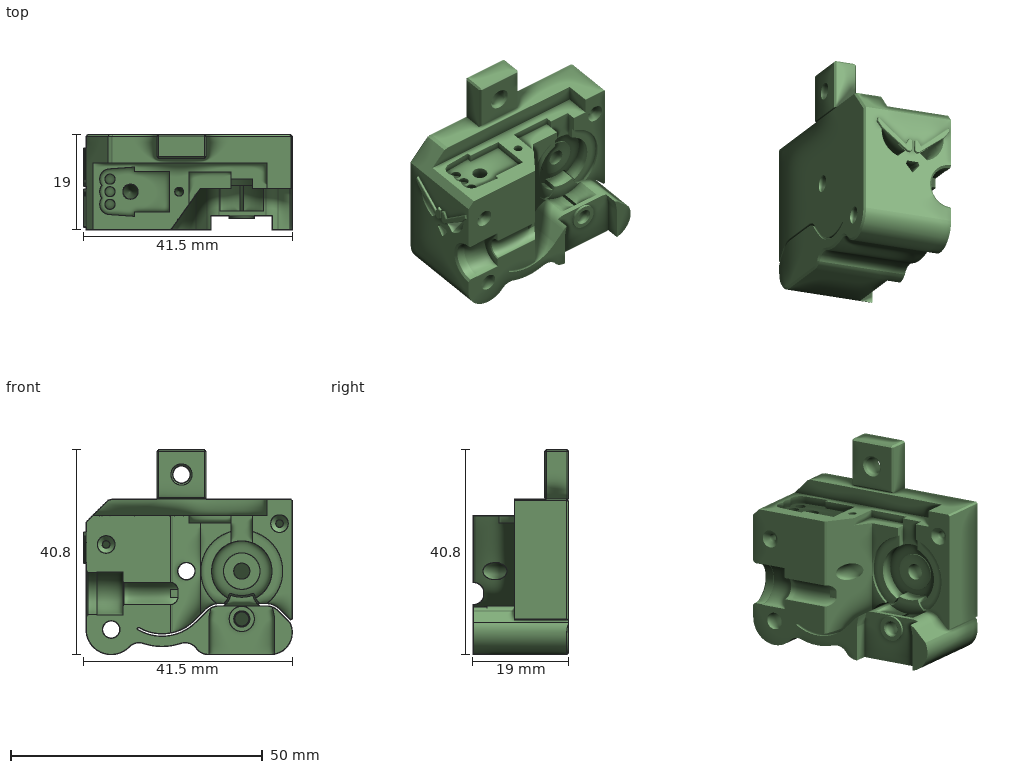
import cadquery as cq
import math


LENGTH = 41.0
DEPTH = 19.0
BODY_TOP = 30.9
CORNER_BEVEL = 4.6
BEVEL_EASE_LENGTH = 0.6
BEVEL_EASE_DROP = 0.2
TOP_CORNER = 0.3
BACK_CHAMFER = 0.4
FOOT_RADIUS = 5.0
SCREW_CLEARANCE = 3.4

TAB_WIDTH = 9.75
TAB_THICKNESS = 4.8
TAB_TOP = 40.75
TAB_X = 18.97
TAB_HOLE_Z = 35.8
TAB_HOLE_MOUTH = 4.2
TAB_CHAMFER = 0.35

LEDGE_Z = 27.65
LEDGE_DEPTH = 13.3
LEDGE_END_X = 36.0
BOARD_FLOOR = LEDGE_Z - 1.5
BOARD_Y = 7.6
BOARD_END_X = 16.6
BOARD_HALF_WIDTH = 4.0
BOARD_STEP_X = 9.65
BOARD_STEP_HALF_WIDTH = 4.9
LOBE_RADIUS = 2.05
CONTACT_X = 4.76
CONTACT_PITCH = 2.5
CONTACT_DIAMETER = 2.0
CONTACT_DEPTH = 1.0
WIRE_X = 8.84
WIRE_DIAMETER = 3.0
WIRE_BOTTOM = 14.5
PILOT_X = 18.5
PILOT_DIAMETER = 1.75
PILOT_DEPTH = 3.0

CHAMBER_LIP_X = 16.75
CHAMBER_LIP = 0.35
CHAMBER_CORNER_X = 22.7
CHAMBER_Y = 8.2
SIDE_POCKET_X = 20.5
SIDE_POCKET_Z = 26.15
SIDE_POCKET_Y = 11.5
KEYWAY_WIDTH = 4.25
KEYWAY_Y = 10.15

SHAFT_X = 30.95
SHAFT_Z = 16.6
RING_DIAMETER = 16.3
RING_FRONT_Y = 3.75
RING_BACK_Y = 8.8
SEAT_DIAMETER = 12.0
SEAT_Y = 11.5
PAD_DIAMETER = 7.25
PAD_HEIGHT = 0.25
SHAFT_DIAMETER = 3.2
SHAFT_END_Y = 16.0

GAP = 0.44
GAP_Z = 9.93
SWEEP_X = 15.1
SWEEP_Z = 13.2
SWEEP_RADIUS = 9.3
SWEEP_START = 240
BEND_RADIUS = 3.6
BEND_RIGHT_X = 35.8
GAP_EXIT_RUN = 5.0
LEVER_BAND = 2.3
BAND_HALF_ANGLE = 18
BAND_BLEND_RUN = 1.45
BAND_BLEND_RISE = 0.15
LEVER_END_RADIUS = 4.4
LEVER_END_CIRCLE = (LENGTH - LEVER_END_RADIUS, LEVER_END_RADIUS, LEVER_END_RADIUS)
LEVER_CORNER_RADIUS = 3.2
LEVER_CORNER_X = 24.4
TIP_Z = 7.1
RECESS_Y = 2.8
RECESS_HALF_WIDTH = 6.55
RECESS_TOP_HALF_WIDTH = 5.9
RECESS_ARC_Z = 7.0
RECESS_BULGE = 0.1
BOSS_Z = 7.1
BOSS_DIAMETER = 5.0
BOSS_HEIGHT = 0.5
AXLE_DIAMETER = 2.8
AXLE_MOUTH = 3.2
AXLE_END_Y = 12.0

TOOTH_BASE = 3.6
TOOTH_WAIST = 2.8
TOOTH_TIP = 2.2
TOOTH_WAIST_Z = 10.5
TOOTH_TIP_Z = 11.8
TOOTH_DIP_Z = 11.4
TOOTH_END_Y = 12.6
TOOTH_CLEARANCE = 0.35
TOOTH_POCKET_Y = 13.0

INLET_Z = 12.15
INLET_MOUTH_RADIUS = 4.6
INLET_CHAMFER_X = 0.43
INLET_LEAD_RADIUS = 4.15
INLET_LEAD_X = 2.2
COUPLER_RADIUS = 4.25
COUPLER_X = 7.35
TUBE_RADIUS = 2.2
TUBE_MOUTH = 0.2
TUBE_FLAT_X = 16.75
TUBE_FLAT_Y = 2.05
TUBE_X = 20.0

CSK_DIAMETER = 3.5
CSK_DEPTH = 1.0
CSK_PILOT = 1.5
CSK_PILOT_DEPTH = 8.0
CSK_HOLES = ((4.0, 21.9, 0), (38.45, 26.05, CHAMBER_Y))

SCREW_HOLES = ((FOOT_RADIUS, FOOT_RADIUS), (19.95, SHAFT_Z))

FACE_Y = 8.4
BROW_HEIGHT = 0.5
BROW_CHAMFER = 0.12
EYE_DEPTH = 7.8
EYE_NARROWING = 0.3
EYE_TARGET_OFFSET = 1.0
EYE_TARGET_Z = 20.0
BEAK_TARGET_Z = 16.3

DIAGONAL = math.sqrt(0.5)
OVERSHOOT = 2.0


def front_plane(y):
    """Sketch plane parallel to the front face, at depth y."""
    return cq.Workplane("XZ", origin=(0, y, 0))


def along_y(sketch, length):
    return sketch.extrude(-length)


def cylinder_y(x, z, diameter, y_start, y_end):
    return along_y(front_plane(y_start).center(x, z).circle(diameter / 2), y_end - y_start)


def cone_y(x, z, mouth, inner, y, depth):
    """Cone that narrows toward the back, starting at depth y."""
    solid = cq.Solid.makeCone(mouth / 2, inner / 2, depth, cq.Vector(x, y, z), cq.Vector(0, 1, 0))
    return cq.Workplane(obj=solid)


def box(x_start, x_end, y_start, y_end, z_start, z_end):
    size = (x_end - x_start, y_end - y_start, z_end - z_start)
    return cq.Workplane("XY").box(*size, centered=False).translate((x_start, y_start, z_start))


def on_circle(x, z, radius, degrees):
    angle = math.radians(degrees)
    return (x + radius * math.cos(angle), z + radius * math.sin(angle))


def make_block():
    """Fixed body and lever as one profile, before they are separated."""
    band_radius = SWEEP_RADIUS + LEVER_BAND
    band_start = on_circle(SWEEP_X, SWEEP_Z, band_radius, 270 - BAND_HALF_ANGLE)
    band_end = on_circle(SWEEP_X, SWEEP_Z, band_radius, 270 + BAND_HALF_ANGLE)
    corner_circle = (LEVER_CORNER_X, LEVER_CORNER_RADIUS, LEVER_CORNER_RADIUS)
    foot_circle = (FOOT_RADIUS, FOOT_RADIUS, FOOT_RADIUS)
    crest_z = band_start[1] + BAND_BLEND_RISE
    profile = (
        front_plane(0)
        .moveTo(0, FOOT_RADIUS)
        .lineTo(0, BODY_TOP - CORNER_BEVEL)
        .lineTo(CORNER_BEVEL - BEVEL_EASE_DROP, BODY_TOP - BEVEL_EASE_DROP)
        .lineTo(CORNER_BEVEL + BEVEL_EASE_LENGTH, BODY_TOP)
        .lineTo(LENGTH - TOP_CORNER, BODY_TOP)
        .lineTo(LENGTH, BODY_TOP - TOP_CORNER)
        .lineTo(LENGTH, LEVER_END_RADIUS)
        .threePointArc(on_circle(*LEVER_END_CIRCLE, -45), on_circle(*LEVER_END_CIRCLE, -90))
        .lineTo(LEVER_CORNER_X, 0)
        .threePointArc(on_circle(*corner_circle, 248), on_circle(*corner_circle, 225))
        .threePointArc((band_end[0] + BAND_BLEND_RUN, crest_z), band_end)
        .threePointArc((SWEEP_X, SWEEP_Z - band_radius), band_start)
        .threePointArc((band_start[0] - BAND_BLEND_RUN, crest_z), on_circle(*foot_circle, 315))
        .threePointArc(on_circle(*foot_circle, 250), (0, FOOT_RADIUS))
        .close()
    )
    return along_y(profile, DEPTH).faces(">Y").chamfer(BACK_CHAMFER)


def gap_edge(side):
    """Points of one gap edge: each arc as start, middle and end. side is +1 above, -1 below."""
    offset = side * GAP / 2
    sweep_radius = SWEEP_RADIUS - offset
    bend_radius = BEND_RADIUS + offset
    bend_z = GAP_Z - BEND_RADIUS
    rise = bend_z - SWEEP_Z
    left_x = SWEEP_X + rise + (SWEEP_RADIUS + BEND_RADIUS) / DIAGONAL
    sweep = [on_circle(SWEEP_X, SWEEP_Z, sweep_radius, a) for a in (SWEEP_START, 280, 315)]
    left = [on_circle(left_x, bend_z, bend_radius, a) for a in (135, 112.5, 90)]
    right = [on_circle(BEND_RIGHT_X, bend_z, bend_radius, a) for a in (90, 67.5, 45)]
    leave_x, leave_z = right[-1]
    leave = (leave_x + GAP_EXIT_RUN, leave_z - GAP_EXIT_RUN)
    return sweep + left + right + [leave]


def trace_upper_gap_edge():
    sweep_0, sweep_1, sweep_2, left_0, left_1, left_2, right_0, right_1, right_2, leave = gap_edge(1)
    return (
        front_plane(0)
        .moveTo(*sweep_0)
        .threePointArc(sweep_1, sweep_2)
        .lineTo(*left_0)
        .threePointArc(left_1, left_2)
        .lineTo(*right_0)
        .threePointArc(right_1, right_2)
        .lineTo(*leave)
    )


def make_gap():
    sweep_0, sweep_1, sweep_2, left_0, left_1, left_2, right_0, right_1, right_2, leave = gap_edge(-1)
    closed_end = on_circle(SWEEP_X, SWEEP_Z, SWEEP_RADIUS, SWEEP_START)
    profile = (
        trace_upper_gap_edge()
        .lineTo(*leave)
        .lineTo(*right_2)
        .threePointArc(right_1, right_0)
        .lineTo(*left_2)
        .threePointArc(left_1, left_0)
        .lineTo(*sweep_2)
        .threePointArc(sweep_1, sweep_0)
        .threePointArc((closed_end[0] - GAP / 2, closed_end[1] + GAP / 4), gap_edge(1)[0])
        .close()
    )
    return along_y(profile, DEPTH)


def make_tip_notch():
    """Wedge where the gap leaves the body, between its lower tip and the round lever end."""
    profile = (
        front_plane(0)
        .moveTo(*on_circle(*LEVER_END_CIRCLE, 0))
        .threePointArc(on_circle(*LEVER_END_CIRCLE, 22), on_circle(*LEVER_END_CIRCLE, 45))
        .lineTo(LENGTH - GAP, TIP_Z - GAP / 2)
        .lineTo(LENGTH, TIP_Z)
        .close()
    )
    return along_y(profile, DEPTH)


def make_chamber():
    """Space in front of the back plate, above the gap and right of the slanted wall."""
    right_x = LENGTH + GAP_EXIT_RUN
    top_z = BODY_TOP + OVERSHOOT
    above_gap = along_y(
        trace_upper_gap_edge().lineTo(right_x, top_z).lineTo(gap_edge(1)[0][0], top_z).close(),
        CHAMBER_Y,
    )
    plan = (
        cq.Workplane("XY")
        .moveTo(CHAMBER_LIP_X, 0)
        .lineTo(CHAMBER_LIP_X + CHAMBER_LIP, CHAMBER_LIP)
        .lineTo(CHAMBER_CORNER_X, CHAMBER_Y)
        .lineTo(right_x, CHAMBER_Y)
        .lineTo(right_x, 0)
        .close()
        .extrude(top_z)
    )
    return plan.intersect(above_gap)


def make_tab():
    tab = (
        box(TAB_X - TAB_WIDTH / 2, TAB_X + TAB_WIDTH / 2, DEPTH - TAB_THICKNESS, DEPTH, BODY_TOP, TAB_TOP)
        .edges(">Z or <Y or (>Y and (not <Z))")
        .chamfer(TAB_CHAMFER)
    )
    front_y = DEPTH - TAB_THICKNESS
    mouth_step = (TAB_HOLE_MOUTH - SCREW_CLEARANCE) / 2
    mouth = cone_y(TAB_X, TAB_HOLE_Z, TAB_HOLE_MOUTH, SCREW_CLEARANCE, front_y, mouth_step)
    return tab.cut(cylinder_y(TAB_X, TAB_HOLE_Z, SCREW_CLEARANCE, front_y, DEPTH)).cut(mouth)


def make_countersunk_hole(x, z, y):
    pilot = cylinder_y(x, z, CSK_PILOT, y, y + CSK_PILOT_DEPTH)
    return pilot.union(cone_y(x, z, CSK_DIAMETER, CSK_PILOT, y, CSK_DEPTH))


def vertical_hole(x, y, diameter, z_bottom, z_top):
    return cq.Workplane("XY", origin=(x, y, z_bottom)).circle(diameter / 2).extrude(z_top - z_bottom)


def drilled_hole(x, y, diameter, z_bottom, z_top):
    """Vertical hole with a drill point below z_bottom."""
    radius = diameter / 2
    point = cq.Solid.makeCone(radius, 0, radius, cq.Vector(x, y, z_bottom), cq.Vector(0, 0, -1))
    return vertical_hole(x, y, diameter, z_bottom, z_top).union(cq.Workplane(obj=point))


def make_board_pocket():
    """Stepped pocket with three contact wells, plus the wire hole."""
    height = LEDGE_Z - BOARD_FLOOR
    half_contacts = CONTACT_PITCH + LOBE_RADIUS
    pocket = (
        cq.Workplane("XY", origin=(0, BOARD_Y, BOARD_FLOOR))
        .polyline([
            (CONTACT_X, half_contacts),
            (BOARD_STEP_X, BOARD_STEP_HALF_WIDTH),
            (BOARD_STEP_X, BOARD_HALF_WIDTH),
            (BOARD_END_X, BOARD_HALF_WIDTH),
            (BOARD_END_X, -BOARD_HALF_WIDTH),
            (BOARD_STEP_X, -BOARD_HALF_WIDTH),
            (BOARD_STEP_X, -BOARD_STEP_HALF_WIDTH),
            (CONTACT_X, -half_contacts),
        ])
        .close()
        .extrude(height)
    )
    for index in (-1, 0, 1):
        y = BOARD_Y + index * CONTACT_PITCH
        pocket = pocket.union(vertical_hole(CONTACT_X, y, 2 * LOBE_RADIUS, BOARD_FLOOR, LEDGE_Z))
        well_bottom = BOARD_FLOOR - CONTACT_DEPTH
        pocket = pocket.union(vertical_hole(CONTACT_X, y, CONTACT_DIAMETER, well_bottom, LEDGE_Z))
    return pocket.union(drilled_hole(WIRE_X, BOARD_Y, WIRE_DIAMETER, WIRE_BOTTOM, LEDGE_Z))


def make_pilot():
    """Small blind hole in the ledge."""
    return drilled_hole(PILOT_X, BOARD_Y, PILOT_DIAMETER, LEDGE_Z - PILOT_DEPTH, LEDGE_Z)


def make_shaft_seat():
    """Stepped seat with a low pad around the shaft hole."""
    seat = cylinder_y(SHAFT_X, SHAFT_Z, RING_DIAMETER, RING_FRONT_Y, RING_BACK_Y)
    seat = seat.union(cylinder_y(SHAFT_X, SHAFT_Z, SEAT_DIAMETER, RING_FRONT_Y, SEAT_Y))
    seat = seat.cut(cylinder_y(SHAFT_X, SHAFT_Z, PAD_DIAMETER, SEAT_Y - PAD_HEIGHT, SEAT_Y))
    return seat.union(cylinder_y(SHAFT_X, SHAFT_Z, SHAFT_DIAMETER, RING_FRONT_Y, SHAFT_END_Y))


def make_plate_pockets():
    keyway_left = SHAFT_X - KEYWAY_WIDTH / 2
    keyway_right = SHAFT_X + KEYWAY_WIDTH / 2
    keyway = box(keyway_left, keyway_right, CHAMBER_Y, KEYWAY_Y, SHAFT_Z, LEDGE_Z)
    return keyway.union(box(SIDE_POCKET_X, keyway_left, 0, SIDE_POCKET_Y, SIDE_POCKET_Z, LEDGE_Z))


def tooth_profile():
    base_z = GAP_Z - GAP / 2
    return (
        front_plane(RING_BACK_Y)
        .moveTo(SHAFT_X - TOOTH_BASE, base_z)
        .threePointArc((SHAFT_X - TOOTH_WAIST, TOOTH_WAIST_Z), (SHAFT_X - TOOTH_TIP, TOOTH_TIP_Z))
        .threePointArc((SHAFT_X, TOOTH_DIP_Z), (SHAFT_X + TOOTH_TIP, TOOTH_TIP_Z))
        .threePointArc((SHAFT_X + TOOTH_WAIST, TOOTH_WAIST_Z), (SHAFT_X + TOOTH_BASE, base_z))
        .close()
    )


def make_tooth():
    return along_y(tooth_profile(), TOOTH_END_Y - RING_BACK_Y)


def make_tooth_pocket():
    """Clearance around the tooth, kept above the lever."""
    pocket = along_y(tooth_profile().offset2D(TOOTH_CLEARANCE), TOOTH_POCKET_Y - RING_BACK_Y)
    return pocket.intersect(box(0, LENGTH, 0, DEPTH, GAP_Z - GAP / 2, BODY_TOP))


def make_lever_recess():
    """Recess in the front of the lever, open at the bottom, with rounded-in upper sides."""
    arc_middle = (RECESS_HALF_WIDTH + RECESS_TOP_HALF_WIDTH) / 2 + RECESS_BULGE
    arc_middle_z = (RECESS_ARC_Z + GAP_Z) / 2
    profile = (
        front_plane(0)
        .moveTo(SHAFT_X - RECESS_HALF_WIDTH, 0)
        .lineTo(SHAFT_X - RECESS_HALF_WIDTH, RECESS_ARC_Z)
        .threePointArc((SHAFT_X - arc_middle, arc_middle_z), (SHAFT_X - RECESS_TOP_HALF_WIDTH, GAP_Z))
        .lineTo(SHAFT_X + RECESS_TOP_HALF_WIDTH, GAP_Z)
        .threePointArc((SHAFT_X + arc_middle, arc_middle_z), (SHAFT_X + RECESS_HALF_WIDTH, RECESS_ARC_Z))
        .lineTo(SHAFT_X + RECESS_HALF_WIDTH, 0)
        .close()
    )
    return along_y(profile, RECESS_Y)


def make_axle_hole():
    front_y = RECESS_Y - BOSS_HEIGHT
    mouth_step = (AXLE_MOUTH - AXLE_DIAMETER) / 2
    hole = cylinder_y(SHAFT_X, BOSS_Z, AXLE_DIAMETER, front_y, AXLE_END_Y)
    return hole.union(cone_y(SHAFT_X, BOSS_Z, AXLE_MOUTH, AXLE_DIAMETER, front_y, mouth_step))


def make_inlet():
    """Revolved groove along X with its axis on the front face."""
    flat = box(TUBE_FLAT_X, TUBE_X, TUBE_FLAT_Y, TUBE_RADIUS, INLET_Z - TUBE_RADIUS, INLET_Z + TUBE_RADIUS)
    groove = (
        cq.Workplane("XZ", origin=(0, 0, INLET_Z))
        .moveTo(0, 0)
        .lineTo(0, INLET_MOUTH_RADIUS)
        .lineTo(INLET_CHAMFER_X, INLET_LEAD_RADIUS)
        .lineTo(INLET_LEAD_X, INLET_LEAD_RADIUS)
        .lineTo(INLET_LEAD_X, COUPLER_RADIUS)
        .lineTo(COUPLER_X, COUPLER_RADIUS)
        .lineTo(COUPLER_X, TUBE_RADIUS + TUBE_MOUTH)
        .lineTo(COUPLER_X + TUBE_MOUTH, TUBE_RADIUS)
        .lineTo(TUBE_X, TUBE_RADIUS)
        .lineTo(TUBE_X, 0)
        .close()
        .revolve(360, (0, 0, 0), (1, 0, 0))
    )
    return groove.cut(flat)


def make_brow(side):
    """Raised eyebrow. Points are (distance from the face centre, Z)."""
    outline = [
        (7.7, 24.4),
        (1.65, 19.65),
        (0.9, 20.9),
        (0.25, 20.6),
        (0.3, 18.5),
        (0.7, 18.1),
        (1.3, 18.2),
        (6.8, 22.2),
        (7.9, 23.6),
    ]
    brow = cq.Workplane("YZ").polyline(face_points(outline, side)).close().extrude(-BROW_HEIGHT)
    return brow.faces("<X").chamfer(BROW_CHAMFER)


def face_points(outline, side):
    return [(FACE_Y + side * distance, z) for distance, z in outline]


def narrow(points, target_y, target_z):
    """Points drawn in toward a target."""
    return [
        (target_y + EYE_NARROWING * (y - target_y), target_z + EYE_NARROWING * (z - target_z))
        for y, z in points
    ]


def draw_eye(plane, points):
    inner_corner, outer_corner, arc_middle, arc_end = points
    return (
        plane.moveTo(*inner_corner)
        .lineTo(*outer_corner)
        .threePointArc(arc_middle, arc_end)
        .close()
    )


def make_eye(side):
    """Eye opening that narrows toward the wire hole."""
    outer = face_points([(1.6, 18.3), (6.75, 22.3), (5.5, 18.5), (3.2, 17.0)], side)
    inner = narrow(outer, FACE_Y + side * EYE_TARGET_OFFSET, EYE_TARGET_Z)
    mouth = draw_eye(cq.Workplane("YZ"), outer)
    return draw_eye(mouth.workplane(offset=EYE_DEPTH), inner).loft(ruled=True)


def make_beak():
    outer = face_points([(-1.2, 16.3), (1.2, 16.3), (1.45, 15.6), (0, 13.9), (-1.45, 15.6)], 1)
    inner = narrow(outer, FACE_Y, BEAK_TARGET_Z)
    mouth = cq.Workplane("YZ").polyline(outer).close()
    return mouth.workplane(offset=EYE_DEPTH).polyline(inner).close().loft(ruled=True)


part = make_block().cut(make_gap()).cut(make_tip_notch()).cut(make_chamber())

part = part.cut(box(0, LEDGE_END_X, 0, LEDGE_DEPTH, LEDGE_Z, BODY_TOP))
part = part.cut(make_board_pocket()).cut(make_pilot()).cut(make_plate_pockets())

part = part.cut(make_shaft_seat()).cut(make_tooth_pocket()).union(make_tooth())
part = part.cut(make_lever_recess())
part = part.union(cylinder_y(SHAFT_X, BOSS_Z, BOSS_DIAMETER, RECESS_Y - BOSS_HEIGHT, RECESS_Y))
part = part.cut(make_axle_hole())

part = part.cut(make_inlet())
for hole_x, hole_z in SCREW_HOLES:
    part = part.cut(cylinder_y(hole_x, hole_z, SCREW_CLEARANCE, 0, DEPTH))
for hole_x, hole_z, face_y in CSK_HOLES:
    part = part.cut(make_countersunk_hole(hole_x, hole_z, face_y))

for face_side in (-1, 1):
    part = part.cut(make_eye(face_side)).union(make_brow(face_side))
part = part.cut(make_beak())

result = part.union(make_tab())